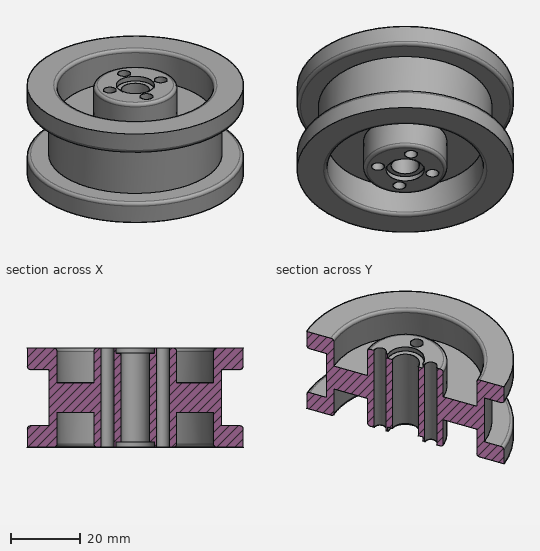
import cadquery as cq

outer_diameter = 62.35
height = 28.6
flange_thickness = 6.3
core_diameter = 50.0
edge_radius = 1.0

recess_diameter = 45.0
recess_depth = 10.0
hub_diameter = 24.0

bore_diameter = 8.1
counterbore_diameter = 11.0
counterbore_depth = 1.5
bolt_hole_diameter = 3.7
bolt_circle_diameter = 16.0
bolt_count = 4


def cylinder(diameter, length, bottom):
    """Cylinder on the Z axis, starting at height bottom."""
    return cq.Workplane("XY").workplane(offset=bottom).circle(diameter / 2).extrude(length)


def make_flange():
    """Top flange, rounded on the edge that faces the winding groove."""
    flange = cylinder(outer_diameter, flange_thickness, height / 2 - flange_thickness)
    return flange.faces("<Z").edges().fillet(edge_radius)


def make_recess():
    """Ring-shaped cut in the top end, flared at the rim and around the hub."""
    floor = height / 2 - recess_depth
    shoulder = height / 2 - edge_radius
    wall_radius = recess_diameter / 2
    hub_radius = hub_diameter / 2
    profile = (
        cq.Workplane("XZ")
        .moveTo(hub_radius, floor)
        .lineTo(wall_radius, floor)
        .lineTo(wall_radius, shoulder)
        .radiusArc((wall_radius + edge_radius, height / 2), edge_radius)
        .lineTo(hub_radius - edge_radius, height / 2)
        .radiusArc((hub_radius, shoulder), edge_radius)
        .close()
    )
    return profile.revolve(360, (0, 0, 0), (0, 1, 0))


def make_counterbore():
    return cylinder(counterbore_diameter, counterbore_depth, height / 2 - counterbore_depth)


def on_both_ends(top_feature):
    """The feature together with its mirror image at the bottom end."""
    return top_feature.union(top_feature.mirror("XY"))


body = cylinder(core_diameter, height, -height / 2).union(on_both_ends(make_flange()))
body = body.cut(on_both_ends(make_recess())).cut(on_both_ends(make_counterbore()))

bore = cylinder(bore_diameter, height, -height / 2)
bolt_holes = (
    cq.Workplane("XY")
    .workplane(offset=-height / 2)
    .polarArray(bolt_circle_diameter / 2, 0, 360, bolt_count)
    .circle(bolt_hole_diameter / 2)
    .extrude(height)
)

result = body.cut(bore).cut(bolt_holes)